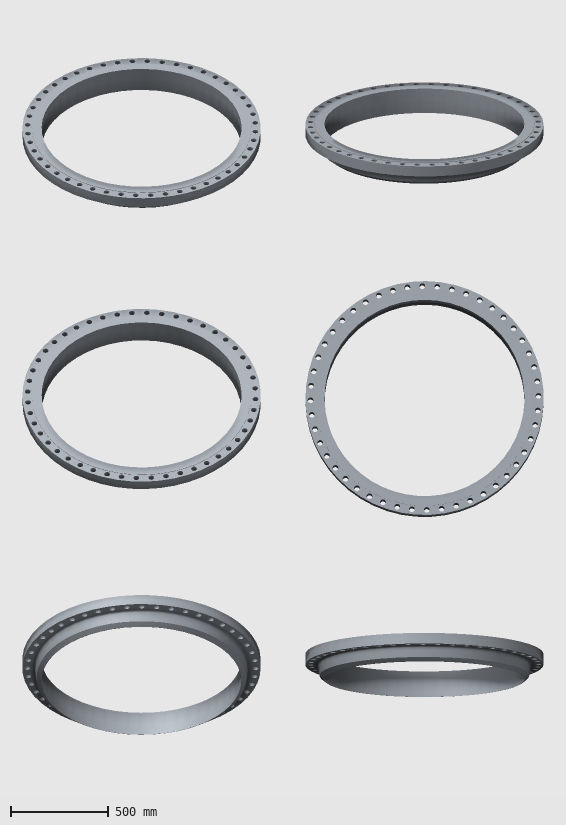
import cadquery as cq
import math

outer_diameter = 1225.0
total_height = 134.0
bore_diameter = 1028.0

flange_bottom_z = 76.0
raised_face_height = 2.0
raised_face_diameter = 1130.0
flange_top_z = total_height - raised_face_height

hub_top_diameter = 1102.0
bevel_top_diameter = 1078.0
bevel_bottom_diameter = 1032.0
bevel_height = 18.0
fillet_radius = 10.0

bolt_count = 48
bolt_circle_diameter = 1173.0
bolt_hole_diameter = 30.0

outer_radius = outer_diameter / 2
bore_radius = bore_diameter / 2
raised_face_radius = raised_face_diameter / 2
hub_top_radius = hub_top_diameter / 2
bevel_top_radius = bevel_top_diameter / 2
bevel_bottom_radius = bevel_bottom_diameter / 2

taper = math.atan2(hub_top_radius - bevel_top_radius, flange_bottom_z - bevel_height)
tangent_length = fillet_radius * math.tan((math.pi / 2 - taper) / 2)
arc_center_r = hub_top_radius + tangent_length
arc_center_z = flange_bottom_z - fillet_radius


def fillet_point(angle):
    """Point on the fillet arc, with the angle measured from the +radius direction."""
    return (
        arc_center_r + fillet_radius * math.cos(angle),
        arc_center_z + fillet_radius * math.sin(angle),
    )


arc_start_angle = math.pi - taper
arc_end_angle = math.pi / 2
arc_middle_angle = (arc_start_angle + arc_end_angle) / 2

profile = (
    cq.Workplane("XZ")
    .moveTo(bore_radius, 0)
    .lineTo(bevel_bottom_radius, 0)
    .lineTo(bevel_top_radius, bevel_height)
    .lineTo(*fillet_point(arc_start_angle))
    .threePointArc(fillet_point(arc_middle_angle), fillet_point(arc_end_angle))
    .lineTo(outer_radius, flange_bottom_z)
    .lineTo(outer_radius, flange_top_z)
    .lineTo(raised_face_radius, flange_top_z)
    .lineTo(raised_face_radius, total_height)
    .lineTo(bore_radius, total_height)
    .close()
)
ring = profile.revolve(360, (0, 0, 0), (0, 1, 0))

bolt_holes = (
    cq.Workplane("XY")
    .polarArray(bolt_circle_diameter / 2, 0, 360, bolt_count)
    .circle(bolt_hole_diameter / 2)
    .extrude(total_height)
)

result = ring.cut(bolt_holes)